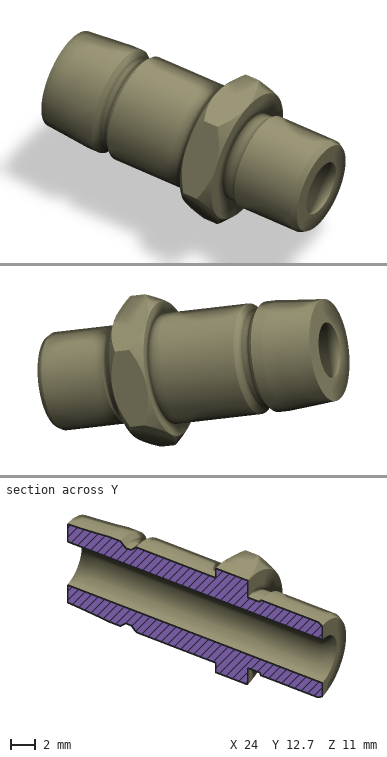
import cadquery as cq
import math

total_length = 24.0

tip_diameter = 8.3
barrel_diameter = 9.0
groove_diameter = 8.0
neck_diameter = 7.5
spigot_diameter = 8.0
bore_diameter = 4.5
across_flats = 11.0
hex_face_diameter = 10.95

nose_length = 4.0
rim_length = 0.98
groove_floor_width = 0.5
hex_start = 13.97
hex_width = 3.02
neck_length = 1.1
neck_flank_width = 0.12
end_chamfer_length = 0.43

groove_depth = (barrel_diameter - groove_diameter) / 2
rim_end = nose_length + rim_length
groove_start = rim_end + groove_depth
groove_end = groove_start + groove_floor_width
barrel_start = groove_end + groove_depth
hex_end = hex_start + hex_width
neck_end = hex_end + neck_length
spigot_start = neck_end + neck_flank_width
chamfer_start = total_length - end_chamfer_length

tip_radius = tip_diameter / 2
barrel_radius = barrel_diameter / 2
groove_radius = groove_diameter / 2
neck_radius = neck_diameter / 2
spigot_radius = spigot_diameter / 2
bore_radius = bore_diameter / 2


def revolve_about_x(profile):
    """Close a half profile lying on the X axis and revolve it fully around that axis."""
    return profile.close().revolve(360, (0, 0, 0), (1, 0, 0))


def make_body():
    """Turned body: tapered nose, rim, groove, barrel, neck and chamfered spigot."""
    profile = (
        cq.Workplane("XY")
        .moveTo(0, 0)
        .lineTo(0, tip_radius)
        .lineTo(nose_length, barrel_radius)
        .lineTo(rim_end, barrel_radius)
        .lineTo(groove_start, groove_radius)
        .lineTo(groove_end, groove_radius)
        .lineTo(barrel_start, barrel_radius)
        .lineTo(hex_start, barrel_radius)
        .lineTo(hex_start, neck_radius)
        .lineTo(neck_end, neck_radius)
        .lineTo(spigot_start, spigot_radius)
        .lineTo(chamfer_start, spigot_radius)
        .lineTo(total_length, neck_radius)
        .lineTo(total_length, 0)
    )
    return revolve_about_x(profile)


def make_hexagon():
    """Hexagon with flats facing +Z and -Z, its corners turned off at 45 degrees on both faces."""
    across_corners = across_flats / math.cos(math.pi / 6)
    prism = (
        cq.Workplane("YZ", origin=(hex_start, 0, 0))
        .polygon(6, across_corners)
        .extrude(hex_width)
    )
    face_radius = hex_face_diameter / 2
    half_width = hex_width / 2
    double_cone = (
        cq.Workplane("XY")
        .moveTo(hex_start, 0)
        .lineTo(hex_start, face_radius)
        .lineTo(hex_start + half_width, face_radius + half_width)
        .lineTo(hex_end, face_radius)
        .lineTo(hex_end, 0)
    )
    return prism.intersect(revolve_about_x(double_cone))


def make_bore():
    """Through bore along the whole part."""
    return cq.Workplane("YZ").circle(bore_radius).extrude(total_length)


result = make_body().union(make_hexagon()).cut(make_bore())